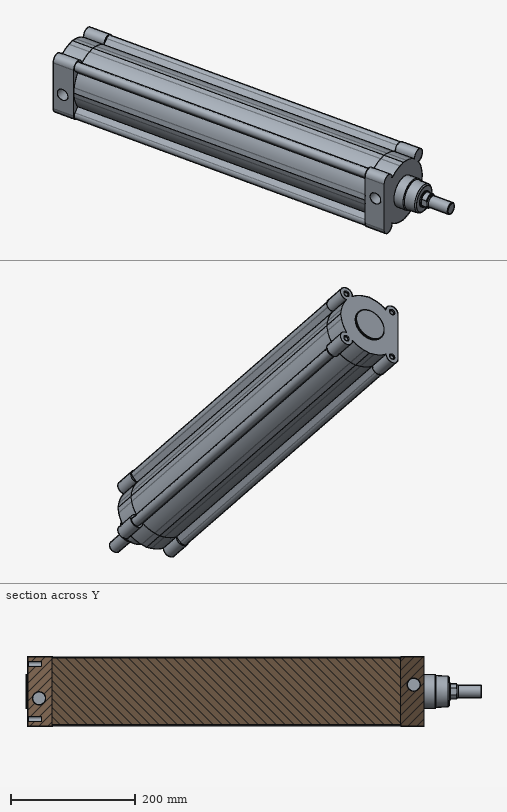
import cadquery as cq
import math

REAR_CAP_START = 3.0
BARREL_START = 42.5
BARREL_END = 603.0
FRONT_CAP_END = 641.0
COLLAR_SHOULDER = 658.0
COLLAR_END = 681.0
WIPER_END = 683.0
SHANK_END = 693.5
THREAD_START = 695.5
ROD_END = 733.0

BODY_RADIUS = 55.0
RIDGE_HALF_WIDTH = 9.5

CAP_WIDTH = 112.0
PORT_FACE_Y = -CAP_WIDTH / 2
LUG_RADIUS = 12.0
PORT_PAD_THICKNESS = 19.0
LUG_OFFSET = CAP_WIDTH / 2 - LUG_RADIUS
SCREW_HOLE_RADIUS = 4.0
SCREW_HOLE_DEPTH = 22.0
SCREW_HOLE_CHAMFER = 1.5

RIB_RADIUS = 8.0
RIB_OFFSET = 46.0

PORT_RADIUS = 10.0
PORT_DEPTH = 22.0
PORT_HEIGHT = 11.0
REAR_PORT_X = 21.0
FRONT_PORT_X = 624.0

COLLAR_RADIUS = 55.0 / 2
REAR_COLLAR_CHAMFER = 1.0
SHOULDER_CHAMFER = 1.5
COLLAR_TIP_RADIUS = 25.0
COLLAR_TIP_CHAMFER = 2.0
WIPER_RADIUS = 14.0

ROD_RADIUS = 12.5
SHANK_CHAMFER = 1.1
ROD_FLATS_WIDTH = 22.0
THREAD_RADIUS = 10.0
THREAD_CHAMFER = 1.1


def section_plane(x):
    """Plane across the axis at x, with local x along Y, local y along Z and its normal along +X."""
    return cq.Workplane("YZ", origin=(x, 0, 0))


def corner_points(offset):
    return [(y, z) for y in (-offset, offset) for z in (-offset, offset)]


def cylinder(start, end, radius):
    return section_plane(start).circle(radius).extrude(end - start)


def polar_point(radius, angle):
    return (radius * math.cos(angle), radius * math.sin(angle))


def ridged_body(start, end):
    """Cylinder with a shallow ridge on each side, whose two flanks run tangent to the round."""
    body = cylinder(start, end, BODY_RADIUS)
    half_angle = math.asin(RIDGE_HALF_WIDTH / BODY_RADIUS)
    peak_radius = BODY_RADIUS / math.cos(half_angle)
    for quarter in range(4):
        angle = quarter * math.pi / 2
        ridge = (
            section_plane(start)
            .polyline(
                [
                    (0, 0),
                    polar_point(BODY_RADIUS, angle - half_angle),
                    polar_point(peak_radius, angle),
                    polar_point(BODY_RADIUS, angle + half_angle),
                ]
            )
            .close()
            .extrude(end - start)
        )
        body = body.union(ridge)
    return body


def cap_blank(start, end):
    """Ridged body with four corner lugs and a flat port face on its -Y side."""
    length = end - start
    lugs = section_plane(start).pushPoints(corner_points(LUG_OFFSET)).circle(LUG_RADIUS).extrude(length)
    port_pad = (
        section_plane(start)
        .center(PORT_FACE_Y + PORT_PAD_THICKNESS / 2, 0)
        .rect(PORT_PAD_THICKNESS, 2 * LUG_OFFSET)
        .extrude(length)
    )
    return ridged_body(start, end).union(lugs).union(port_pad)


def port_hole(x, z):
    return cq.Workplane("XZ", origin=(x, PORT_FACE_Y, z)).circle(PORT_RADIUS).extrude(-PORT_DEPTH)


def screw_holes():
    """Blind holes in the rear lugs, each with a chamfered mouth."""
    mouth_radius = SCREW_HOLE_RADIUS + SCREW_HOLE_CHAMFER
    places = corner_points(LUG_OFFSET)
    holes = (
        section_plane(REAR_CAP_START)
        .pushPoints(places)
        .circle(SCREW_HOLE_RADIUS)
        .extrude(SCREW_HOLE_DEPTH)
    )
    mouths = (
        section_plane(REAR_CAP_START)
        .pushPoints(places)
        .circle(mouth_radius)
        .extrude(SCREW_HOLE_CHAMFER, taper=45)
    )
    return holes.union(mouths)


def make_rear_cap():
    collar = cylinder(0, BARREL_START, COLLAR_RADIUS).faces("<X").chamfer(REAR_COLLAR_CHAMFER)
    return (
        cap_blank(REAR_CAP_START, BARREL_START)
        .union(collar)
        .cut(screw_holes())
        .cut(port_hole(REAR_PORT_X, -PORT_HEIGHT))
    )


def make_barrel():
    """Ridged body with four ribs that stand out along the diagonals and have rounded ends."""
    barrel = ridged_body(BARREL_START, BARREL_END)
    rib_reach = RIB_OFFSET * math.sqrt(2) + RIB_RADIUS
    for angle in (45, 135):
        rib_pair = (
            section_plane(BARREL_START)
            .slot2D(2 * rib_reach, 2 * RIB_RADIUS, angle)
            .extrude(BARREL_END - BARREL_START)
        )
        barrel = barrel.union(rib_pair)
    return barrel


def front_collar():
    """Turned collar with a stepped shoulder, a tapered nose and the wiper ring at its tip."""
    return (
        cq.Workplane("XY")
        .moveTo(BARREL_END, 0)
        .lineTo(BARREL_END, COLLAR_RADIUS)
        .lineTo(COLLAR_SHOULDER, COLLAR_RADIUS)
        .lineTo(COLLAR_SHOULDER + SHOULDER_CHAMFER, COLLAR_RADIUS - SHOULDER_CHAMFER)
        .lineTo(COLLAR_END - COLLAR_TIP_CHAMFER, COLLAR_TIP_RADIUS)
        .lineTo(COLLAR_END, COLLAR_TIP_RADIUS - COLLAR_TIP_CHAMFER)
        .lineTo(COLLAR_END, WIPER_RADIUS)
        .lineTo(WIPER_END, WIPER_RADIUS)
        .lineTo(WIPER_END, 0)
        .close()
        .revolve(360, (0, 0, 0), (1, 0, 0))
    )


def make_front_cap():
    rod_bore = cylinder(BARREL_END, WIPER_END, ROD_RADIUS)
    return (
        cap_blank(BARREL_END, FRONT_CAP_END)
        .union(front_collar())
        .cut(rod_bore)
        .cut(port_hole(FRONT_PORT_X, PORT_HEIGHT))
    )


def make_piston_rod():
    """Rod with two wrench flats facing +Y and -Y, then a conical neck and a thinner threaded end."""
    rod = cylinder(BARREL_END, SHANK_END, ROD_RADIUS).faces(">X").chamfer(SHANK_CHAMFER)
    flats_length = SHANK_END - WIPER_END
    flat_depth = ROD_RADIUS - ROD_FLATS_WIDTH / 2
    flat_middle = (ROD_RADIUS + ROD_FLATS_WIDTH / 2) / 2
    flat_cuts = (
        section_plane(WIPER_END)
        .pushPoints([(-flat_middle, 0), (flat_middle, 0)])
        .rect(flat_depth, 2 * ROD_RADIUS)
        .extrude(flats_length)
    )
    neck = (
        section_plane(SHANK_END)
        .circle(ROD_FLATS_WIDTH / 2)
        .workplane(offset=THREAD_START - SHANK_END)
        .circle(THREAD_RADIUS)
        .loft()
    )
    thread = cylinder(THREAD_START, ROD_END, THREAD_RADIUS).faces(">X").chamfer(THREAD_CHAMFER)
    return rod.cut(flat_cuts).union(neck).union(thread)


rear_cap = make_rear_cap()
barrel = make_barrel()
front_cap = make_front_cap()
piston_rod = make_piston_rod()

result = cq.Compound.makeCompound(
    [rear_cap.val(), barrel.val(), front_cap.val(), piston_rod.val()]
)